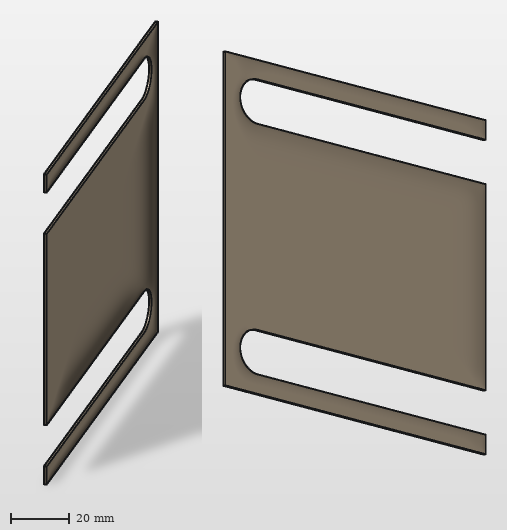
import cadquery as cq

side = 120.0
thickness = 1.0

slot_width = 16.0
slot_spacing = 90.0
slot_radius = slot_width / 2
edge_margin = (side - slot_spacing - slot_width) / 2
round_center_y = side / 2 - edge_margin - slot_radius


def slot_cutter(center_z):
    """Slot running from the -Y edge to a round end near the +Y edge."""
    return (
        cq.Workplane("YZ")
        .moveTo(-side / 2, center_z - slot_radius)
        .lineTo(round_center_y, center_z - slot_radius)
        .threePointArc(
            (round_center_y + slot_radius, center_z),
            (round_center_y, center_z + slot_radius),
        )
        .lineTo(-side / 2, center_z + slot_radius)
        .close()
        .extrude(thickness, both=True)
    )


result = cq.Workplane("XY").box(thickness, side, side)
for center_z in (-slot_spacing / 2, slot_spacing / 2):
    result = result.cut(slot_cutter(center_z))